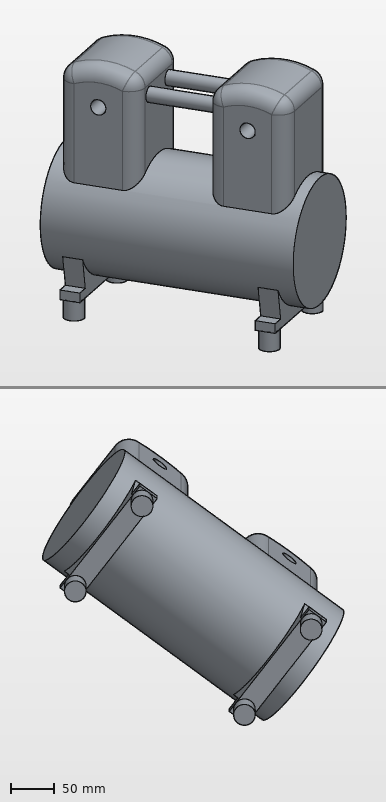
import cadquery as cq
import math

tank_length = 315.0
tank_diameter = 157.0

tower_width = 100.0
tower_depth = 120.0
tower_spacing = 186.0
tower_top = 198.8
crown_radius = tower_width
edge_radius = 20.0

hole_diameter = 19.0
hole_height = 148.5

bar_diameter = 19.0
bar_height = 160.5
bar_spacing = 56.0

foot_thickness = 25.0
foot_spacing = 243.2
saddle_top_width = 135.5
saddle_bottom_width = 119.7
saddle_top = -39.5
plate_width = 151.8
plate_top = -77.8
plate_thickness = 12.0
pin_diameter = foot_thickness
pin_spacing = plate_width - pin_diameter
foot_bottom = -114.0


def make_tank():
    return cq.Workplane("YZ").circle(tank_diameter / 2).extrude(tank_length / 2, both=True)


def make_tower(x):
    """Block with a domed crown, rounded edges and a cross hole."""
    half_width = tower_width / 2
    crown_rise = crown_radius - math.sqrt(crown_radius**2 - half_width**2)
    shoulder = tower_top - crown_rise
    block = (
        cq.Workplane("XZ")
        .moveTo(-half_width, 0)
        .lineTo(-half_width, shoulder)
        .threePointArc((0, tower_top), (half_width, shoulder))
        .lineTo(half_width, 0)
        .close()
        .extrude(tower_depth / 2, both=True)
    )
    block = block.edges("not(<Z)").fillet(edge_radius)
    hole = (
        cq.Workplane("XZ")
        .center(0, hole_height)
        .circle(hole_diameter / 2)
        .extrude(tower_depth, both=True)
    )
    return block.cut(hole).translate((x, 0, 0))


def make_bar(y):
    """Bar reaching from face to face of the towers."""
    bar_length = tower_spacing - tower_width
    return (
        cq.Workplane("YZ", origin=(-bar_length / 2, y, bar_height))
        .circle(bar_diameter / 2)
        .extrude(bar_length)
    )


def make_foot(x):
    """Tapered saddle, base plate and two pins."""
    plate_bottom = plate_top - plate_thickness
    foot = (
        cq.Workplane("YZ")
        .moveTo(-saddle_top_width / 2, saddle_top)
        .lineTo(-saddle_bottom_width / 2, plate_top)
        .lineTo(-plate_width / 2, plate_top)
        .lineTo(-plate_width / 2, plate_bottom)
        .lineTo(plate_width / 2, plate_bottom)
        .lineTo(plate_width / 2, plate_top)
        .lineTo(saddle_bottom_width / 2, plate_top)
        .lineTo(saddle_top_width / 2, saddle_top)
        .close()
        .extrude(foot_thickness / 2, both=True)
    )
    pins = (
        cq.Workplane("XY", origin=(0, 0, foot_bottom))
        .pushPoints([(0, -pin_spacing / 2), (0, pin_spacing / 2)])
        .circle(pin_diameter / 2)
        .extrude(plate_bottom - foot_bottom)
    )
    return foot.union(pins).translate((x, 0, 0))


result = make_tank()
for side in (-1, 1):
    result = result.union(make_tower(side * tower_spacing / 2))
    result = result.union(make_foot(side * foot_spacing / 2))
for side in (-1, 1):
    result = result.union(make_bar(side * bar_spacing / 2))